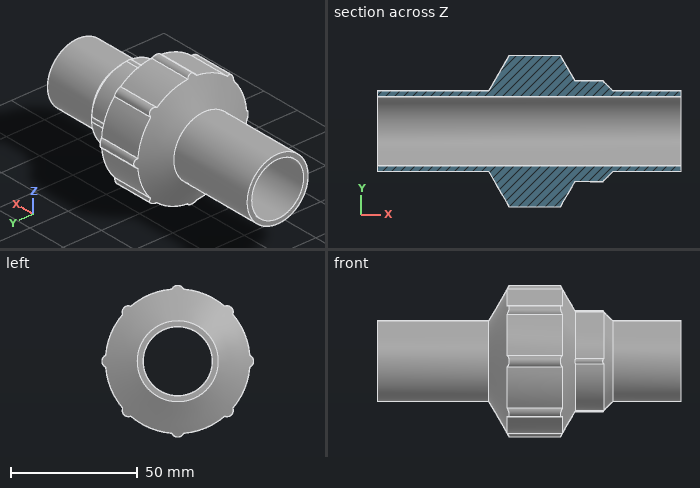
import cadquery as cq
import math

overall_length = 120.0
pipe_diameter = 32.0
bore_diameter = 27.2
pipe_radius = pipe_diameter / 2
pipe_start = -overall_length / 2

nut_start = pipe_start + 44.0
nut_tip_radius = 30.0
nut_body_radius = 28.6
nut_cone_angle = 60.0
nut_tip_length = 20.2
nut_rib_radius = 2.5
nut_rib_count = 8

collar_end = pipe_start + 93.0
collar_tip_radius = 20.0
collar_body_radius = 19.5
collar_taper_angle = 45.0
collar_rib_radius = 1.5
collar_rib_count = 4


def taper_length(outer_radius, inner_radius, angle):
    """Axial length of a cone whose side makes the given angle with the axis."""
    return (outer_radius - inner_radius) / math.tan(math.radians(angle))


nut_cone_length = taper_length(nut_tip_radius, pipe_radius, nut_cone_angle)
nut_end = nut_start + 2 * nut_cone_length + nut_tip_length
nut_middle = (nut_start + nut_end) / 2
collar_taper_length = taper_length(collar_tip_radius, pipe_radius, collar_taper_angle)


def cylinder_x(start, end, radius, y=0.0, z=0.0):
    """Solid cylinder parallel to X."""
    return cq.Workplane("YZ", origin=(start, y, z)).circle(radius).extrude(end - start)


def ribbed_drum(start, end, body_radius, tip_radius, rib_radius, rib_count):
    """Cylinder with evenly spaced round ribs whose crests reach tip_radius."""
    drum = cylinder_x(start, end, body_radius)
    centre_radius = tip_radius - rib_radius
    for index in range(rib_count):
        angle = 2 * math.pi * index / rib_count
        y = centre_radius * math.cos(angle)
        z = centre_radius * math.sin(angle)
        drum = drum.union(cylinder_x(start, end, rib_radius, y, z))
    return drum


def revolved_envelope(profile):
    """Solid of revolution about X from (x, radius) points."""
    return cq.Workplane("XY").polyline(profile).close().revolve(360, (0, 0, 0), (1, 0, 0))


def make_nut():
    drum = ribbed_drum(
        nut_start, nut_end, nut_body_radius, nut_tip_radius, nut_rib_radius, nut_rib_count
    )
    envelope = revolved_envelope([
        (nut_start, 0),
        (nut_start, pipe_radius),
        (nut_start + nut_cone_length, nut_tip_radius),
        (nut_end - nut_cone_length, nut_tip_radius),
        (nut_end, pipe_radius),
        (nut_end, 0),
    ])
    return drum.intersect(envelope)


def make_collar():
    drum = ribbed_drum(
        nut_middle,
        collar_end,
        collar_body_radius,
        collar_tip_radius,
        collar_rib_radius,
        collar_rib_count,
    )
    envelope = revolved_envelope([
        (nut_middle, 0),
        (nut_middle, collar_tip_radius),
        (collar_end - collar_taper_length, collar_tip_radius),
        (collar_end, pipe_radius),
        (collar_end, 0),
    ])
    return drum.intersect(envelope)


pipe = cylinder_x(pipe_start, pipe_start + overall_length, pipe_radius)
bore = cylinder_x(pipe_start, pipe_start + overall_length, bore_diameter / 2)

result = pipe.union(make_nut()).union(make_collar()).cut(bore)